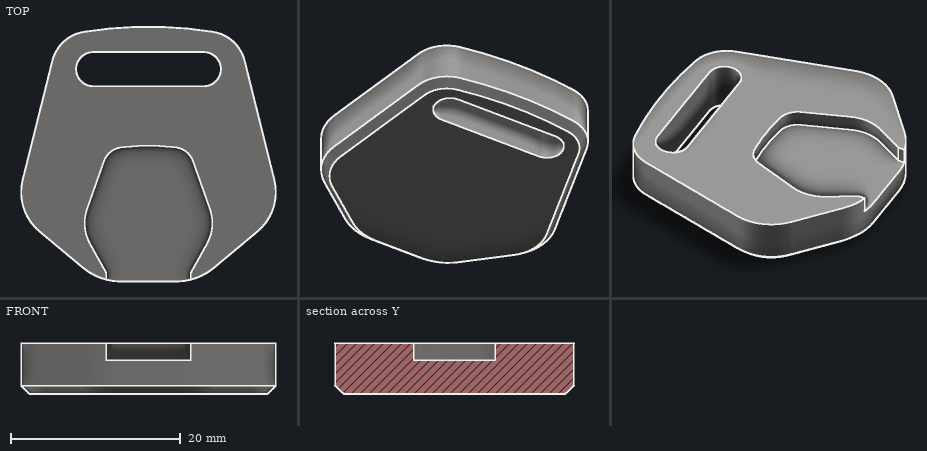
import cadquery as cq

length = 30.0
thickness = 6.0
bottom_chamfer = thickness / 6

plate_base_half = 5.75
plate_side_half = 15.72
plate_side_y = 8.3
plate_top_half = 10.62
plate_top_y = 28.8
plate_base_radius = 7.0
plate_side_radius = 6.0
plate_top_radius = 4.6

slot_length = 17.0
slot_width = 4.0
slot_y = 25.0

pocket_depth = thickness / 3
pocket_length = 16.0
pocket_mouth_half = 4.95
pocket_mouth_y = 1.0
pocket_side_half = 7.98
pocket_side_y = 6.42
pocket_top_half = 4.75
pocket_top_y = 15.57
pocket_side_radius = 5.0
pocket_top_radius = 2.5


def prism(right_side, crown_y, height):
    """Extrude an outline mirrored about X = 0 and closed by a crowned arc at the top."""
    left_side = [(-x, y) for x, y in reversed(right_side)]
    outline = cq.Workplane("XY").polyline(right_side)
    outline = outline.threePointArc((0, crown_y), left_side[0])
    for point in left_side[1:]:
        outline = outline.lineTo(*point)
    return outline.close().extrude(height)


def round_corners(body, corner, radius):
    """Round the upright edges at a corner and at its mirror image."""
    x, y = corner
    margin = 0.03
    for side in (-1, 1):
        box = cq.selectors.BoxSelector(
            (side * x - margin, y - margin, -length),
            (side * x + margin, y + margin, length),
        )
        body = body.edges("|Z").edges(box).fillet(radius)
    return body


def make_plate():
    base = (plate_base_half, 0)
    side = (plate_side_half, plate_side_y)
    top = (plate_top_half, plate_top_y)
    plate = prism([base, side, top], length, thickness)
    plate = round_corners(plate, base, plate_base_radius)
    plate = round_corners(plate, side, plate_side_radius)
    plate = round_corners(plate, top, plate_top_radius)
    return plate.faces("<Z").chamfer(bottom_chamfer)


def make_slot():
    return cq.Workplane("XY").center(0, slot_y).slot2D(slot_length, slot_width).extrude(thickness)


def make_pocket():
    mouth = (pocket_mouth_half, 0)
    throat = (pocket_mouth_half, pocket_mouth_y)
    side = (pocket_side_half, pocket_side_y)
    top = (pocket_top_half, pocket_top_y)
    pocket = prism([mouth, throat, side, top], pocket_length, pocket_depth)
    pocket = round_corners(pocket, side, pocket_side_radius)
    pocket = round_corners(pocket, top, pocket_top_radius)
    return pocket.translate((0, 0, thickness - pocket_depth))


result = make_plate().cut(make_slot()).cut(make_pocket())